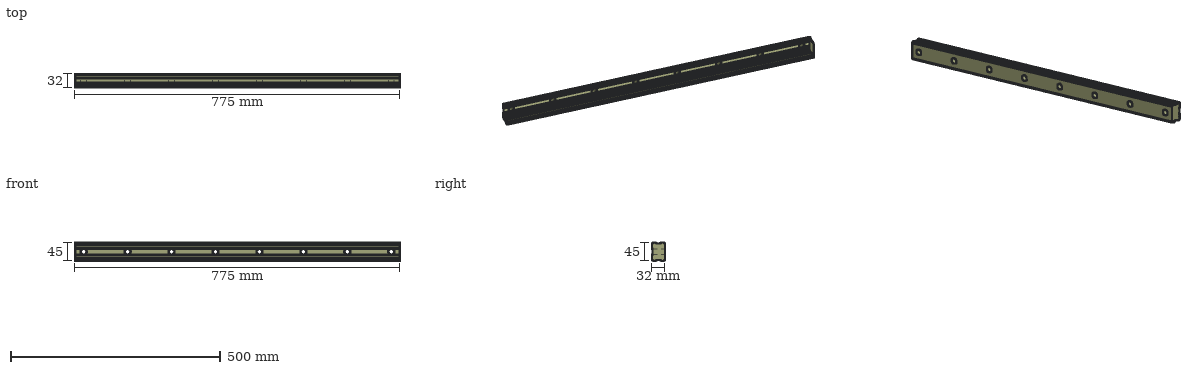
import cadquery as cq

length = 775.0
depth = 32.0
height = 45.0
half_depth = depth / 2
half_height = height / 2

groove_depth = 2.0
groove_front = -8.5
groove_back = 7.0
front_slope = 5.0
back_slope_step = 1.9
lip_drop = 1.9
front_chamfer = 3.5
back_chamfer = 3.5

foot_inner = 15.0
slot_half_height = 8.5
slot_slope = 2.0
relief_depth = 0.4
slot_depth = 1.2

hole_count = 8
hole_diameter = 14.0
end_margin = 20.0
hole_pitch = (length - 2 * end_margin) / (hole_count - 1)


def upper_outline():
    """Upper half of the section as (Y, Z) points, from the -Y face to the +Y face."""
    groove_floor = half_height - groove_depth
    relief_y = -half_depth + relief_depth
    slot_y = -half_depth + slot_depth
    return [
        (slot_y, slot_half_height - slot_slope),
        (relief_y, slot_half_height),
        (relief_y, foot_inner),
        (-half_depth, foot_inner),
        (-half_depth, half_height - front_chamfer),
        (-half_depth + front_chamfer, half_height),
        (groove_front, half_height),
        (groove_front + front_slope, groove_floor),
        (groove_back - 2 * back_slope_step, groove_floor),
        (groove_back - back_slope_step, half_height - lip_drop),
        (groove_back, half_height),
        (half_depth - back_chamfer, half_height),
        (half_depth, half_height - back_chamfer),
    ]


def rail_body():
    """Section symmetric about Z = 0, extruded along X and centred."""
    upper = upper_outline()
    lower = [(y, -z) for y, z in reversed(upper)]
    section = cq.Workplane("YZ").polyline(upper + lower).close()
    return section.extrude(length / 2, both=True)


def mounting_holes():
    """Row of cylinders running through the rail along Y."""
    return (
        cq.Workplane("XZ")
        .rarray(hole_pitch, 8, hole_count, 1)
        .circle(hole_diameter / 2)
        .extrude(depth, both=True)
    )


result = rail_body().cut(mounting_holes())